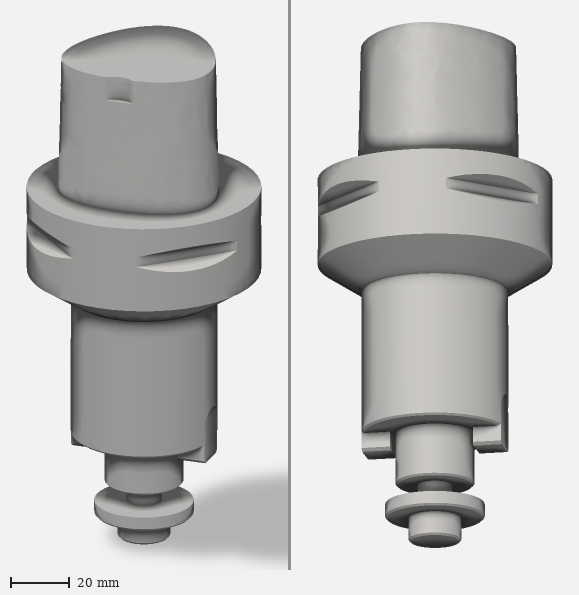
import cadquery as cq
import math


shank_length = 48.0
base_mean_radius = 27.5
lobe_eccentricity = 2.1
radius_taper = 1 / 40
outline_points = 48

notch_radius = 7
notch_floor_y = -22.0
notch_depth = 8.3

flange_diameter = 80.0
flange_depth = 30.1
body_diameter = 50.0
cone_depth = 40.0
body_depth = 90.0
pilot_diameter = 27.0
pilot_depth = 108.0
screw_diameter = 12.0
washer_diameter = 34.0
washer_top_depth = 114.8
washer_bottom_depth = 119.7
head_diameter = 18.0
total_depth = 176 - shank_length
edge_chamfer = 0.7

groove_count = 4
groove_centre_depth = 12.1
groove_floor_distance = 35.4
groove_floor_width = 3.5
groove_mouth_width = 8.8

key_width = 12.3
key_outer_x = 24.3
key_inner_x = 14.5
key_top_depth = 77.5
key_bottom_depth = 96.3
key_chamfer = 1.0


def lobed_wire(mean_radius, height):
    """Three-lobed closed curve with one lobe pointing along +Y."""
    points = []
    for i in range(outline_points):
        angle = 2 * math.pi * i / outline_points
        x = mean_radius * math.cos(angle) - lobe_eccentricity * math.sin(2 * angle)
        y = mean_radius * math.sin(angle) - lobe_eccentricity * math.cos(2 * angle)
        points.append(cq.Vector(x, y, height))
    return cq.Wire.assembleEdges([cq.Edge.makeSpline(points, periodic=True)])


def make_shank():
    top_mean_radius = base_mean_radius - radius_taper * shank_length
    base = lobed_wire(base_mean_radius, 0)
    top = lobed_wire(top_mean_radius, shank_length)
    shank = cq.Workplane(cq.Solid.makeLoft([base, top], True))
    notch = (
        cq.Workplane("XY", origin=(0, notch_floor_y - notch_radius, shank_length))
        .circle(notch_radius)
        .extrude(-notch_depth)
    )
    return shank.cut(notch)


def disc(diameter, top_depth, bottom_depth):
    return (
        cq.Workplane("XY", origin=(0, 0, -top_depth))
        .circle(diameter / 2)
        .extrude(top_depth - bottom_depth)
    )


def chamfered_disc(diameter, top_depth, bottom_depth):
    return disc(diameter, top_depth, bottom_depth).faces("<Z").chamfer(edge_chamfer)


def make_flange():
    flange = disc(flange_diameter, 0, flange_depth)
    cone = (
        cq.Workplane("XZ")
        .moveTo(0, -flange_depth)
        .lineTo(flange_diameter / 2, -flange_depth)
        .lineTo(body_diameter / 2, -cone_depth)
        .lineTo(0, -cone_depth)
        .close()
        .revolve(360, (0, 0), (0, 1))
    )
    return flange.union(cone)


def make_groove(angle):
    """Straight trapezoidal groove whose floor faces the given direction."""
    rim = flange_diameter / 2
    half_floor = groove_floor_width / 2
    half_mouth = groove_mouth_width / 2
    return (
        cq.Workplane("XZ", origin=(0, 0, -groove_centre_depth))
        .moveTo(groove_floor_distance, -half_floor)
        .lineTo(rim, -half_mouth)
        .lineTo(rim, half_mouth)
        .lineTo(groove_floor_distance, half_floor)
        .close()
        .extrude(rim, both=True)
        .rotate((0, 0, 0), (0, 0, 1), angle)
    )


def key_prism(start_x, end_x):
    """Round-topped key profile spanning from start_x to end_x."""
    half_width = key_width / 2
    shoulder = -key_top_depth - half_width
    return (
        cq.Workplane("YZ", origin=(start_x, 0, 0))
        .moveTo(-half_width, -key_bottom_depth)
        .lineTo(half_width, -key_bottom_depth)
        .lineTo(half_width, shoulder)
        .threePointArc((0, -key_top_depth), (-half_width, shoulder))
        .close()
        .extrude(end_x - start_x)
    )


def make_key():
    key = key_prism(key_inner_x, key_outer_x)
    return key.faces("<Z").edges("|X").chamfer(key_chamfer)


def make_arbor():
    body = chamfered_disc(body_diameter, cone_depth, body_depth)
    key_recess = key_prism(key_outer_x, body_diameter / 2)
    key = make_key()
    for angle in (0, 180):
        body = body.cut(key_recess.rotate((0, 0, 0), (0, 0, 1), angle))
        body = body.union(key.rotate((0, 0, 0), (0, 0, 1), angle))
    pilot = chamfered_disc(pilot_diameter, body_depth, pilot_depth)
    screw = disc(screw_diameter, pilot_depth, washer_top_depth)
    washer = chamfered_disc(washer_diameter, washer_top_depth, washer_bottom_depth)
    head = chamfered_disc(head_diameter, washer_bottom_depth, total_depth)
    return body.union(pilot).union(screw).union(washer).union(head)


flange = make_flange()
for i in range(groove_count):
    flange = flange.cut(make_groove(45 + 360 / groove_count * i))

result = make_shank().union(flange).union(make_arbor())